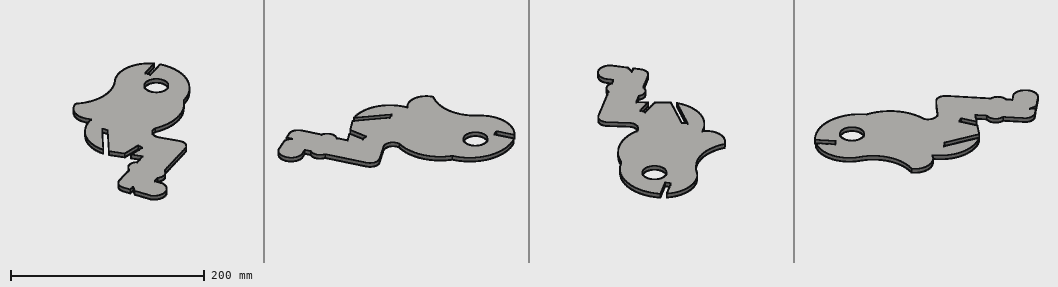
import cadquery as cq
import math

LENGTH = 158.38
HEIGHT = 221.7
THICKNESS = 5.0

NOSE_X = -LENGTH / 2
TOE_TIP_X = LENGTH / 2
HEAD_TOP_Y = HEIGHT / 2
SOLE_Y = -HEIGHT / 2

CROWN_X = -30.0
FOREHEAD_RADIUS = 35.7
HEAD_BACK_RADIUS = 47.2
FACE_RADIUS = 44.7
FACE_ANGLE = 207.0
NAPE_ANGLE = -2.0
EYE_CENTRE = (-20.7, 73.4)
EYE_DIAMETER = 25.0

NOSE_TIP = (NOSE_X, 5.1)
CHIN_RADIUS = 19.7
THROAT = (-51.3, -13.2)
BELLY_RADIUS = 41.0
BELLY_END_X = -10.8
BACK_RADIUS = 49.5
BACK_END = (14.9, 2.2)

BEND_RADIUS = 10.0
SHIN_FRONT_X = 60.0
SHIN_BACK_X = 27.7
ANKLE_BACK_X = 27.0
KNEE_CENTRE = (SHIN_FRONT_X - BEND_RADIUS, -16.7)
THIGH_ANGLE = 10.0
THIGH_LENGTH = 23.0
UNDERSIDE_ANGLE = 12.4
UNDERSIDE_END = (SHIN_BACK_X, -49.9)

CALF_RADIUS = 10.0
CALF_Y = -70.6
CALF_FRONT_CENTRE_X = 53.8
CALF_BACK_CENTRE_X = 32.7

FOOT_HEIGHT = 25.8
TOE_START_X = 69.0
NOTCH_X = 45.0
NOTCH_WIDTH = 5.5
NOTCH_HEIGHT = 6.4

HEAD_SLOT_WIDTH = 6.2
HEAD_SLOT_X = -38.7
HEAD_SLOT_END_Y = 88.8
BELLY_SLOT_START = (-33.4, -23.5)
BELLY_SLOT_END_WIDTH = 6.5
BELLY_SLOT_ANGLE = -60.5
HIP_SLOT_START = (14.2, -34.3)
HIP_SLOT_WIDTH = 6.0
HIP_SLOT_ANGLE = -105.5
BELLY_SLOT_CUT_LENGTH = 45.0
HIP_SLOT_CUT_LENGTH = 30.0


def offset(point, distance, angle):
    """Point at a distance from another one, in a direction given in degrees."""
    turn = math.radians(angle)
    return (point[0] + distance * math.cos(turn), point[1] + distance * math.sin(turn))


def half_chord(radius, distance):
    """Half the chord that a line cuts from a circle at a distance from its centre."""
    return math.sqrt(radius**2 - distance**2)


def body_outline():
    """Closed outline, clockwise from the crown; positive radii bulge outwards."""
    forehead_centre = (CROWN_X, HEAD_TOP_Y - FOREHEAD_RADIUS)
    head_back_centre = (CROWN_X, HEAD_TOP_Y - HEAD_BACK_RADIUS)
    nape = offset(head_back_centre, HEAD_BACK_RADIUS, NAPE_ANGLE)
    face_top = offset(forehead_centre, FOREHEAD_RADIUS, FACE_ANGLE)
    thigh_end = offset(KNEE_CENTRE, BEND_RADIUS, THIGH_ANGLE + 90)
    thigh_start = offset(thigh_end, -THIGH_LENGTH, THIGH_ANGLE)

    calf_front = half_chord(CALF_RADIUS, SHIN_FRONT_X - CALF_FRONT_CENTRE_X)
    calf_back_low = half_chord(CALF_RADIUS, CALF_BACK_CENTRE_X - ANKLE_BACK_X)
    calf_back_high = half_chord(CALF_RADIUS, CALF_BACK_CENTRE_X - SHIN_BACK_X)

    instep_y = SOLE_Y + FOOT_HEIGHT
    underside_run = UNDERSIDE_END[0] - BELLY_END_X
    underside_drop = underside_run * math.tan(math.radians(UNDERSIDE_ANGLE))
    belly_end = (BELLY_END_X, UNDERSIDE_END[1] - underside_drop)

    return (
        cq.Workplane("XY")
        .moveTo(CROWN_X, HEAD_TOP_Y)
        .radiusArc(nape, HEAD_BACK_RADIUS)
        .radiusArc(BACK_END, BACK_RADIUS)
        .radiusArc(thigh_start, -BEND_RADIUS)
        .lineTo(*thigh_end)
        .radiusArc((SHIN_FRONT_X, KNEE_CENTRE[1]), BEND_RADIUS)
        .lineTo(SHIN_FRONT_X, CALF_Y + calf_front)
        .radiusArc((SHIN_FRONT_X, CALF_Y - calf_front), CALF_RADIUS)
        .lineTo(SHIN_FRONT_X, instep_y)
        .lineTo(TOE_START_X, instep_y)
        .threePointArc((TOE_TIP_X, SOLE_Y + FOOT_HEIGHT / 2), (TOE_START_X, SOLE_Y))
        .lineTo(NOTCH_X + NOTCH_WIDTH, SOLE_Y)
        .lineTo(NOTCH_X, SOLE_Y + NOTCH_HEIGHT)
        .lineTo(NOTCH_X, SOLE_Y)
        .lineTo(ANKLE_BACK_X + BEND_RADIUS, SOLE_Y)
        .radiusArc((ANKLE_BACK_X, SOLE_Y + BEND_RADIUS), BEND_RADIUS)
        .lineTo(ANKLE_BACK_X, CALF_Y - calf_back_low)
        .radiusArc((SHIN_BACK_X, CALF_Y + calf_back_high), CALF_RADIUS)
        .lineTo(*UNDERSIDE_END)
        .lineTo(*belly_end)
        .radiusArc(THROAT, BELLY_RADIUS)
        .radiusArc(NOSE_TIP, CHIN_RADIUS)
        .radiusArc(face_top, -FACE_RADIUS)
        .radiusArc((CROWN_X, HEAD_TOP_Y), FOREHEAD_RADIUS)
        .close()
    )


def eye_hole():
    return cq.Workplane("XY").center(*EYE_CENTRE).circle(EYE_DIAMETER / 2).extrude(THICKNESS)


def slot(start, end_angle, width, length, angle):
    """Straight cutter along `angle`; its flat inner end runs from `start` along `end_angle`."""
    inner_far = offset(start, width, end_angle)
    corners = [start, inner_far, offset(inner_far, length, angle), offset(start, length, angle)]
    return cq.Workplane("XY").polyline(corners).close().extrude(THICKNESS)


def head_slot():
    start = (HEAD_SLOT_X - HEAD_SLOT_WIDTH / 2, HEAD_SLOT_END_Y)
    return slot(start, 0, HEAD_SLOT_WIDTH, HEAD_TOP_Y - HEAD_SLOT_END_Y, 90)


def belly_slot():
    return slot(BELLY_SLOT_START, 0, BELLY_SLOT_END_WIDTH, BELLY_SLOT_CUT_LENGTH, BELLY_SLOT_ANGLE)


def hip_slot():
    return slot(HIP_SLOT_START, HIP_SLOT_ANGLE + 90, HIP_SLOT_WIDTH, HIP_SLOT_CUT_LENGTH, HIP_SLOT_ANGLE)


result = body_outline().extrude(THICKNESS)
for opening in (eye_hole(), head_slot(), belly_slot(), hip_slot()):
    result = result.cut(opening)